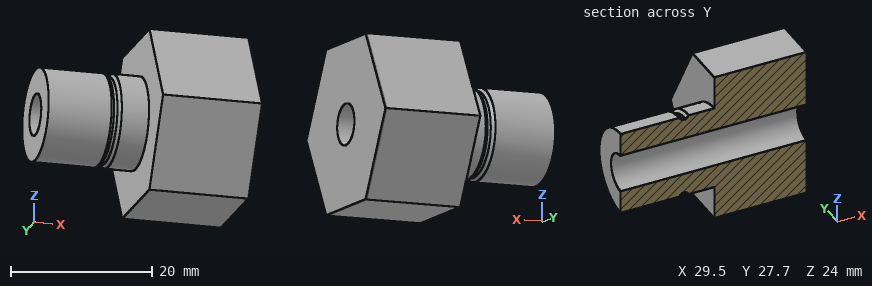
import cadquery as cq
import math

total_length = 29.5
hex_across_flats = 24.0
hex_length = 14.7
spigot_diameter = 13.5
bore_diameter = 6.0

groove_start = 9.3
groove_depth = 0.5
groove_floor_width = 0.5

taper_length = 0.2
taper_depth = 0.05

hex_start = total_length - hex_length
hex_across_corners = hex_across_flats / math.cos(math.pi / 6)
spigot_radius = spigot_diameter / 2
groove_floor_radius = spigot_radius - groove_depth


def make_spigot():
    """Round spigot, revolved around X, with its 45 degree walled groove."""
    floor_start = groove_start + groove_depth
    floor_end = floor_start + groove_floor_width
    groove_end = floor_end + groove_depth
    return (
        cq.Workplane("XY")
        .lineTo(0, spigot_radius)
        .lineTo(groove_start, spigot_radius)
        .lineTo(floor_start, groove_floor_radius)
        .lineTo(floor_end, groove_floor_radius)
        .lineTo(groove_end, spigot_radius)
        .lineTo(hex_start, spigot_radius)
        .lineTo(hex_start, 0)
        .close()
        .revolve(360, (0, 0, 0), (1, 0, 0))
    )


def make_hexagon():
    """Hexagonal head with flats at top and bottom and a tapered free end."""
    head = (
        cq.Workplane("YZ", origin=(hex_start, 0, 0))
        .polygon(6, hex_across_corners)
        .extrude(hex_length)
    )
    return head.faces(">X").chamfer(taper_length, taper_depth)


def make_bore():
    """Cylinder that opens the part from end to end."""
    return cq.Workplane("YZ").circle(bore_diameter / 2).extrude(total_length)


result = make_spigot().union(make_hexagon()).cut(make_bore())